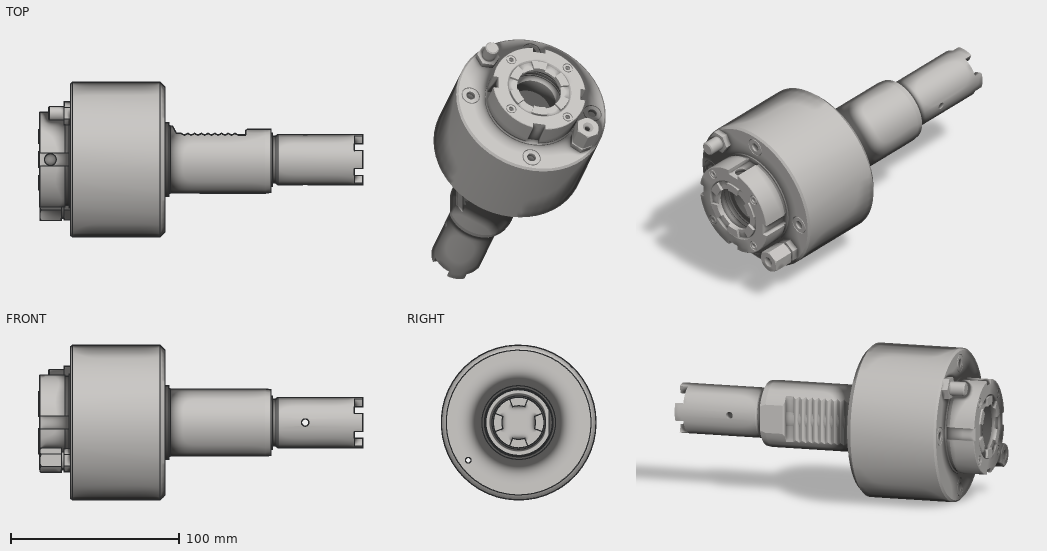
import cadquery as cq
import math


drum_radius = 46.0
drum_front = -56.3
drum_front_chamfer = 1.2
drum_rear_chamfer = 3.0

nose_front = -74.5
nose_radius = 28.5
nose_neck_radius = 27.6
nose_neck_start = -59.3
collar_radius = 28.7
collar_front = -57.1
nose_edge_chamfer = 0.3
slot_width = 7.7
slot_floor_radius = 25.2
dimple_x = -68.1
dimple_radius = 3.5
dimple_depth = 2.5
mouth_chamfer = 1.0

flange_radius = 21.9
flange_end = 2.2
shank_radius = 20.0
shank_root_end = 3.2
shank_root_radius = 20.4
lead_in_start = 59.6
shank_end = 63.0
lead_in_drop = 0.5
spigot_radius = 15.9
spigot_end = 63.8

rack_ramp_start = 4.4
rack_ramp_end = 6.7
rack_crest_y = 15.7
rack_root_y = 14.4
rack_pitch = 4.0
rack_first_root = 11.5
rack_crests = 8
rack_wall_x = 47.8
rack_wall_top_y = 17.2
flat_start = 48.9
flat_y = 18.1

drum_screw_circle = 37.4
drum_screw_head = 5.1
drum_screw_bore = 5.6
drum_screw_socket = 2.7
nose_screw_circle = 24.5
nose_screw_head = 2.6
nose_screw_bore = 3.1
nose_screw_socket = 1.5
screw_gap_depth = 1.0
drill_point_half_angle = 59.0

hex_base_flats = 12.0
hex_base_front = -60.0
pin_y, pin_z = 27.5, 27.5
pin_radius = 4.1
pin_front = -69.3
pin_chamfer = 0.7

nozzle_angle = -36.8
nozzle_flats = 12.5
nozzle_front = -74.4
nozzle_rear = -61.6
nozzle_neck_radius = 5.0
nozzle_edge_drop = 0.8
nozzle_mouth_radius = 3.2
nozzle_hole_radius = 1.6

head_radius = 18.6
claw_front = -75.15
claw_floor = -73.5
claw_plate_rear = -71.7
claw_count = 6
claw_spread = 30.0
eye_radius = 13.5
chamber_radius = 17.0
chamber_rear = -61.2
chamber_groove_starts = (-66.4, -63.6)
chamber_groove_width = 1.4
chamber_groove_radius = 17.5
eye_rear = -50.0
head_rear = -45.0
rod_radius = 15.0
neck_radius = 13.9
neck_end = 66.0
neck_cone_end = 67.0
neck_cone_radius = 14.3
rod_end = 117.5
rod_bore_radius = 10.0
notch_count = 4
notch_spread = 47.6
notch_depth = 5.1
cross_hole_x = 83.2
cross_hole_radius = 2.1


def revolve(points):
    """Turn an (x, radius) outline about the X axis."""
    return cq.Workplane("XY").polyline(points).close().revolve(360, (0, 0, 0), (1, 0, 0))


def rod(x_start, x_end, radius, y=0.0, z=0.0):
    """Cylinder along X."""
    return cq.Workplane("YZ", origin=(x_start, y, z)).circle(radius).extrude(x_end - x_start)


def hexagon(x_start, x_end, flats, y, z, turn):
    """Hexagonal prism along X; with no turn its corners point along Y."""
    corners = flats / math.cos(math.radians(30))
    prism = cq.Workplane("YZ").polygon(6, corners).extrude(x_end - x_start)
    return prism.rotate((0, 0, 0), (1, 0, 0), turn).translate((x_start, y, z))


def around_axis(shape, angles):
    """Copies of a shape, each turned about the X axis by one of the angles."""
    return [shape.rotate((0, 0, 0), (1, 0, 0), angle) for angle in angles]


def screw_cut(face_x, circle, head, bore, socket):
    """Gap around a flush screw head, and its socket with a drill point, on the +Y side."""
    gap_end = face_x + screw_gap_depth
    gap = rod(face_x, gap_end, bore).cut(rod(face_x, gap_end, head))
    socket_end = face_x + socket
    tip = socket_end + socket / math.tan(math.radians(drill_point_half_angle))
    hole = revolve([(face_x, 0), (face_x, socket), (socket_end, socket), (tip, 0)])
    return gap.union(hole).translate((0, circle, 0))


def rack_cut():
    """Material taken off the +Y side of the shank: ramp, teeth, end wall and flat."""
    outside = flange_radius
    ramp_slope = (shank_radius - rack_crest_y) / (rack_ramp_end - rack_ramp_start)
    ramp_top_x = rack_ramp_end - (outside - rack_crest_y) / ramp_slope
    outline = [(ramp_top_x, outside), (rack_ramp_end, rack_crest_y)]
    outline.append((rack_first_root - rack_pitch / 2, rack_crest_y))
    for tooth in range(rack_crests):
        root_x = rack_first_root + tooth * rack_pitch
        outline.append((root_x, rack_root_y))
        outline.append((root_x + rack_pitch / 2, rack_crest_y))
    outline.append((rack_first_root + rack_crests * rack_pitch, rack_root_y))
    outline.append((rack_wall_x, rack_root_y))
    outline.append((rack_wall_x, rack_wall_top_y))
    outline.append((flat_start, flat_y))
    outline.append((shank_end, flat_y))
    outline.append((shank_end, outside))
    cut = cq.Workplane("XY").polyline(outline).close().extrude(shank_radius, both=True)
    return cut.intersect(rod(flange_end, shank_end, outside))


def spindle_envelope():
    """Outside of the spindle before any cuts; the housing is bored to the same shape."""
    return revolve([
        (claw_front, 0),
        (claw_front, head_radius),
        (head_rear, head_radius),
        (head_rear, rod_radius),
        (shank_end, rod_radius),
        (shank_end, neck_radius),
        (neck_end, neck_radius),
        (neck_end, neck_cone_radius),
        (neck_cone_end, rod_radius),
        (rod_end, rod_radius),
        (rod_end, 0),
    ])


def housing_body():
    """Turned shape of nose, drum and shank, solid throughout."""
    return revolve([
        (nose_front, 0),
        (nose_front, nose_radius - nose_edge_chamfer),
        (nose_front + nose_edge_chamfer, nose_radius),
        (nose_neck_start, nose_radius),
        (nose_neck_start, nose_neck_radius),
        (collar_front, nose_neck_radius),
        (collar_front, collar_radius),
        (drum_front, collar_radius),
        (drum_front, drum_radius - drum_front_chamfer),
        (drum_front + drum_front_chamfer, drum_radius),
        (-drum_rear_chamfer, drum_radius),
        (0, drum_radius - drum_rear_chamfer),
        (0, flange_radius),
        (flange_end, flange_radius),
        (flange_end, shank_root_radius),
        (shank_root_end, shank_radius),
        (lead_in_start, shank_radius),
        (shank_end, shank_radius - lead_in_drop),
        (shank_end, spigot_radius),
        (spigot_end, spigot_radius),
        (spigot_end, 0),
    ])


def nose_slot():
    """Axial slot across the outside of the nose, on the +Y side."""
    length = collar_front - nose_front
    depth = collar_radius - slot_floor_radius
    slot = cq.Workplane("XY").box(length, depth, slot_width, centered=(False, False, True))
    return slot.translate((nose_front, slot_floor_radius, 0))


def nozzle(y, z):
    """Hexagonal nozzle with a bevelled front edge, standing on a neck and a hexagonal base."""
    corner_radius = nozzle_flats / 2 / math.cos(math.radians(30))
    bevel = revolve([
        (nozzle_front, 0),
        (nozzle_front, corner_radius - nozzle_edge_drop),
        (nozzle_front + nozzle_edge_drop, corner_radius),
        (nozzle_rear, corner_radius),
        (nozzle_rear, 0),
    ]).translate((0, y, z))
    head = hexagon(nozzle_front, nozzle_rear, nozzle_flats, y, z, 90).intersect(bevel)
    neck = rod(nozzle_rear, hex_base_front, nozzle_neck_radius, y, z)
    base = hexagon(hex_base_front, drum_front, hex_base_flats, y, z, 90)
    return head.union(neck).union(base)


def nozzle_hole(y, z):
    """Coolant hole right through the drum, with a conical mouth."""
    mouth_end = nozzle_front + nozzle_mouth_radius - nozzle_hole_radius
    return revolve([
        (nozzle_front, 0),
        (nozzle_front, nozzle_mouth_radius),
        (mouth_end, nozzle_hole_radius),
        (0, nozzle_hole_radius),
        (0, 0),
    ]).translate((0, y, z))


def make_housing():
    body = housing_body()

    pin = rod(pin_front, drum_front, pin_radius, pin_y, pin_z).faces("<X").chamfer(pin_chamfer)
    body = body.union(hexagon(hex_base_front, drum_front, hex_base_flats, pin_y, pin_z, 0)).union(pin)

    nozzle_y = -drum_screw_circle * math.cos(math.radians(nozzle_angle))
    nozzle_z = drum_screw_circle * math.sin(math.radians(nozzle_angle))
    body = body.union(nozzle(nozzle_y, nozzle_z)).cut(nozzle_hole(nozzle_y, nozzle_z))

    for slot in around_axis(nose_slot(), (0, 90, 180, 270)):
        body = body.cut(slot)
    dimple = cq.Workplane("XY", origin=(dimple_x, 0, slot_floor_radius))
    body = body.cut(dimple.circle(dimple_radius).extrude(-dimple_depth))

    drum_screw = screw_cut(
        drum_front, drum_screw_circle, drum_screw_head, drum_screw_bore, drum_screw_socket
    )
    nose_screw = screw_cut(
        nose_front, nose_screw_circle, nose_screw_head, nose_screw_bore, nose_screw_socket
    )
    for screw in around_axis(drum_screw, (0, 90, 180, 270)):
        body = body.cut(screw)
    for screw in around_axis(nose_screw, (45, 135, 225, 315)):
        body = body.cut(screw)

    body = body.cut(rack_cut())

    mouth = revolve([
        (nose_front, 0),
        (nose_front, head_radius + mouth_chamfer),
        (nose_front + mouth_chamfer, head_radius),
        (nose_front + mouth_chamfer, 0),
    ])
    return body.cut(mouth).cut(spindle_envelope())


def wedge(x_start, x_end, spread):
    """Radial gap of the given angle, centred on the +Y direction."""
    reach = 2 * head_radius
    half_width = reach * math.tan(math.radians(spread / 2))
    outline = cq.Workplane("YZ", origin=(x_start, 0, 0)).polyline([
        (0, 0),
        (reach, -half_width),
        (reach, half_width),
    ])
    return outline.close().extrude(x_end - x_start)


def make_spindle():
    body = spindle_envelope()

    body = body.cut(rod(claw_front, eye_rear, eye_radius))
    body = body.cut(rod(claw_plate_rear, chamber_rear, chamber_radius))
    for groove_start in chamber_groove_starts:
        groove_end = groove_start + chamber_groove_width
        body = body.cut(rod(groove_start, groove_end, chamber_groove_radius))

    claw_gap = wedge(claw_front, claw_floor, claw_spread)
    for gap in around_axis(claw_gap, [index * 360 / claw_count for index in range(claw_count)]):
        body = body.cut(gap)

    notch_floor = rod_end - notch_depth
    body = body.cut(rod(notch_floor, rod_end, rod_bore_radius))
    notch = wedge(notch_floor, rod_end, notch_spread)
    for cut in around_axis(notch, [(index + 0.5) * 360 / notch_count for index in range(notch_count)]):
        body = body.cut(cut)

    cross = cq.Workplane("XZ", origin=(cross_hole_x, 0, 0)).circle(cross_hole_radius)
    return body.cut(cross.extrude(rod_radius, both=True))


housing = make_housing()
spindle = make_spindle()

result = cq.Compound.makeCompound([housing.val(), spindle.val()])